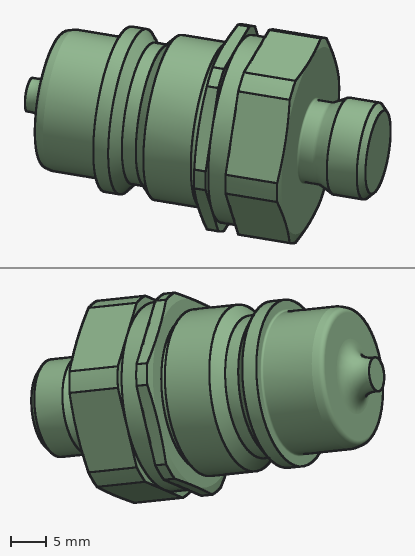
import cadquery as cq
import math

total_length = 51.7

pin_radius = 2.45
pin_straight = 0.65
flare_radius = 2.95

nose_radius = 10.2
nose_taper_end = 5.15
nose_taper_angle = math.radians(15)
nose_edge_radius = 0.85

collar_radius = 11.9
collar_start = 13.15
collar_end = 15.35
groove_start = 16.85
groove_end = 18.9
barrel_start = 20.6
barrel_end = 27.6

neck_radius = 10.85

across_flats = 27.0
corner_diameter = 29.5
hex_start = 28.7
hex_end = 41.6
hex_groove_start = 30.7
hex_groove_end = 33.65
hex_chamfer_length = 0.3
hex_face_radius = 13.45

stub_neck_radius = 5.9
stub_cone_fillet = 1.0
stub_cone_end = 46.25
stub_cone_angle = math.radians(27)
stub_radius = 7.0
stub_chamfer = 1.0

root_fillet = 0.3


def revolve_about_x(profile):
    return profile.close().revolve(360, (0, 0, 0), (1, 0, 0))


def turned_front():
    """Pin, nose, collar, locking groove, barrel and neck."""
    nose_face = pin_straight + flare_radius
    flare_offset = flare_radius * math.sqrt(0.5)
    flare_end_radius = pin_radius + flare_radius

    edge_end = nose_face + nose_edge_radius * (1 - math.sin(nose_taper_angle))
    edge_end_radius = nose_radius - (nose_taper_end - edge_end) * math.tan(nose_taper_angle)
    edge_start_radius = edge_end_radius - nose_edge_radius * math.cos(nose_taper_angle)

    return revolve_about_x(
        cq.Workplane("XY")
        .lineTo(0, pin_radius)
        .lineTo(pin_straight, pin_radius)
        .threePointArc(
            (pin_straight + flare_offset, flare_end_radius - flare_offset),
            (nose_face, flare_end_radius),
        )
        .lineTo(nose_face, edge_start_radius)
        .tangentArcPoint((edge_end, edge_end_radius), relative=False)
        .lineTo(nose_taper_end, nose_radius)
        .lineTo(collar_start - root_fillet, nose_radius)
        .tangentArcPoint((root_fillet, root_fillet))
        .lineTo(collar_start, collar_radius)
        .lineTo(collar_end, collar_radius)
        .lineTo(groove_start, nose_radius)
        .lineTo(groove_end, nose_radius)
        .lineTo(barrel_start, collar_radius)
        .lineTo(barrel_end, collar_radius)
        .lineTo(barrel_end, neck_radius + root_fillet)
        .tangentArcPoint((root_fillet, -root_fillet))
        .lineTo(hex_start, neck_radius)
        .lineTo(hex_start, 0)
    )


def hexagon():
    """Grooved hexagon with turned corners and chamfered ends; two corners point along Y."""
    flat_radius = across_flats / 2
    corner_radius = corner_diameter / 2
    prism = (
        cq.Workplane("YZ", origin=(hex_start, 0, 0))
        .transformed(rotate=(0, 0, 90))
        .polygon(6, across_flats, circumscribed=True)
        .extrude(hex_end - hex_start)
    )
    turned_envelope = revolve_about_x(
        cq.Workplane("XY")
        .moveTo(hex_start, 0)
        .lineTo(hex_start, hex_face_radius)
        .lineTo(hex_start + hex_chamfer_length, corner_radius)
        .lineTo(hex_groove_start, corner_radius)
        .lineTo(hex_groove_start, flat_radius)
        .lineTo(hex_groove_end, flat_radius)
        .lineTo(hex_groove_end, corner_radius)
        .lineTo(hex_end - hex_chamfer_length, corner_radius)
        .lineTo(hex_end, hex_face_radius)
        .lineTo(hex_end, 0)
    )
    return prism.intersect(turned_envelope)


def stub():
    """Necked stub with a conical shoulder and a chamfered end."""
    arc_length = stub_cone_fillet * math.sin(stub_cone_angle)
    cone_start_radius = stub_neck_radius + stub_cone_fillet * (1 - math.cos(stub_cone_angle))
    cone_start = stub_cone_end - (stub_radius - cone_start_radius) / math.tan(stub_cone_angle)
    return revolve_about_x(
        cq.Workplane("XY")
        .moveTo(total_length, 0)
        .lineTo(total_length, stub_radius - stub_chamfer)
        .lineTo(total_length - stub_chamfer, stub_radius)
        .lineTo(stub_cone_end, stub_radius)
        .lineTo(cone_start, cone_start_radius)
        .tangentArcPoint((cone_start - arc_length, stub_neck_radius), relative=False)
        .lineTo(hex_end + root_fillet, stub_neck_radius)
        .tangentArcPoint((-root_fillet, root_fillet))
        .lineTo(hex_end, 0)
    )


result = turned_front().union(hexagon()).union(stub())